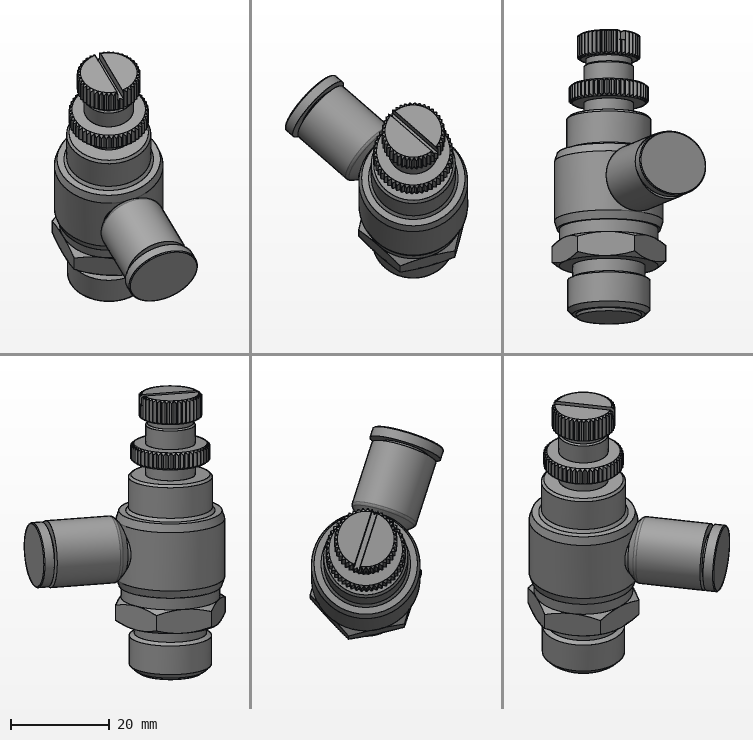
import cadquery as cq
import math


nose_tip_radius = 6.45
nose_radius = 6.65
nose_height = 0.6
thread_radius = 8.35
thread_lead_in = 1.0
thread_bottom = nose_height + thread_lead_in
thread_top = 7.6
relief_radius = 7.33
relief_bottom = 8.1

hex_across_flats = 20.0
hex_corner_radius = hex_across_flats / math.sqrt(3)
hex_bottom = 10.65
hex_height = 5.0
hex_top = hex_bottom + hex_height
hex_chamfer_angle = 30.0

body_radius = 11.01
body_end_radius = 10.45
body_neck_radius = 10.0
body_bottom = 18.2
body_top = 33.8
body_end_taper = 1.68

bonnet_radius = 8.52
bonnet_base_radius = 9.05
bonnet_base_height = 0.65
bonnet_top = 41.36
bonnet_chamfer = 0.5

stem_radius = 5.03
stem_neck_radius = 4.66
stem_top = 51.8
stem_neck_bottom = 52.1

lock_ring_radius = 8.05
lock_ring_root_radius = 7.5
lock_ring_bottom = 44.3
lock_ring_height = 3.6
lock_ring_chamfer = 0.5
lock_ring_teeth = 48

knurl_land = 0.15
knurl_chamfer_overlap = 0.07

total_height = 58.34
head_radius = 6.37
head_root_radius = 5.8
head_height = 5.0
head_bottom = total_height - head_height
head_chamfer = 0.4
head_teeth = 40
slot_width = 1.2
slot_depth = 2.0

port_height = 26.5
port_radius = 6.81
port_neck_radius = 5.15
port_neck_end = 10.37
port_cone_end = port_neck_end + port_radius - port_neck_radius
port_cone_fillet = 0.9
port_end = 25.7
collet_radius = 4.8
collar_start = 26.5
collar_end = 28.68
collar_width = 15.0
collar_height = 13.1
collar_chamfer = 0.2


def revolve_profile(points):
    """Solid of revolution about Z from (radius, height) points, closed along the axis."""
    axis_bottom = (0, points[0][1])
    axis_top = (0, points[-1][1])
    profile = cq.Workplane("XZ").polyline([axis_bottom] + points + [axis_top]).close()
    return profile.revolve(360, (0, 0, 0), (0, 1, 0))


def chamfered_cylinder(radius, bottom, top, radial, axial):
    """Cylinder on Z whose two rims are cut back by a cone."""
    return revolve_profile([
        (radius - radial, bottom),
        (radius, bottom + axial),
        (radius, top - axial),
        (radius - radial, top),
    ])


def make_core():
    """All plain turned steps, from the threaded nose to the screw neck."""
    return revolve_profile([
        (nose_tip_radius, 0),
        (nose_radius, nose_height),
        (thread_radius - thread_lead_in, nose_height),
        (thread_radius, thread_bottom),
        (thread_radius, thread_top),
        (relief_radius, relief_bottom),
        (relief_radius, hex_top),
        (body_neck_radius, hex_top),
        (body_neck_radius, body_bottom),
        (body_end_radius, body_bottom),
        (body_radius, body_bottom + body_end_taper),
        (body_radius, body_top - body_end_taper),
        (body_end_radius, body_top),
        (bonnet_base_radius, body_top),
        (bonnet_radius, body_top + bonnet_base_height),
        (bonnet_radius, bonnet_top - bonnet_chamfer),
        (bonnet_radius - bonnet_chamfer, bonnet_top),
        (stem_radius, bonnet_top),
        (stem_radius, stem_top),
        (stem_neck_radius, stem_neck_bottom),
        (stem_neck_radius, head_bottom),
    ])


def make_hexagon():
    """Hexagon with corners on the X axis and conically chamfered end faces."""
    prism = (
        cq.Workplane("XY", origin=(0, 0, hex_bottom))
        .polygon(6, 2 * hex_corner_radius)
        .extrude(hex_height)
    )
    radial = hex_corner_radius - hex_across_flats / 2
    axial = radial * math.tan(math.radians(hex_chamfer_angle))
    return prism.intersect(chamfered_cylinder(hex_corner_radius, hex_bottom, hex_top, radial, axial))


def polar_point(radius, angle):
    return (radius * math.cos(angle), radius * math.sin(angle))


def make_knurled_disc(tip_radius, root_radius, teeth, bottom, height, chamfer):
    """Disc with straight V-shaped knurling, a root on +X, and rims chamfered past the roots."""
    points = []
    pitch_angle = 2 * math.pi / teeth
    half_land_angle = knurl_land / tip_radius / 2
    for tooth in range(teeth):
        root_angle = tooth * pitch_angle
        tip_angle = root_angle + pitch_angle / 2
        points.append(polar_point(root_radius, root_angle))
        points.append(polar_point(tip_radius, tip_angle - half_land_angle))
        points.append(polar_point(tip_radius, tip_angle + half_land_angle))
    toothed = cq.Workplane("XY", origin=(0, 0, bottom)).polyline(points).close().extrude(height)
    radial = tip_radius - root_radius + knurl_chamfer_overlap
    return toothed.intersect(chamfered_cylinder(tip_radius, bottom, bottom + height, radial, chamfer))


def make_lock_ring():
    return make_knurled_disc(
        lock_ring_radius, lock_ring_root_radius, lock_ring_teeth,
        lock_ring_bottom, lock_ring_height, lock_ring_chamfer,
    )


def make_screw_head():
    """Knurled head with a screwdriver slot along X."""
    head = make_knurled_disc(
        head_radius, head_root_radius, head_teeth, head_bottom, head_height, head_chamfer
    )
    slot = (
        cq.Workplane("XY", origin=(0, 0, total_height - slot_depth))
        .rect(2 * head_radius, slot_width)
        .extrude(slot_depth)
    )
    return head.cut(slot)


def make_port():
    """Tube port along +X with an elliptical release collar."""
    barrel = revolve_profile([
        (port_neck_radius, 0),
        (port_neck_radius, port_neck_end),
        (port_radius, port_cone_end),
        (port_radius, port_end),
    ])
    cone_rim = cq.selectors.BoxSelector(
        (-port_radius, -port_radius, port_cone_end - port_cone_fillet),
        (port_radius, port_radius, port_cone_end + port_cone_fillet),
    )
    barrel = barrel.edges("%CIRCLE").edges(cone_rim).fillet(port_cone_fillet)
    barrel = barrel.rotate((0, 0, 0), (0, 1, 0), 90).translate((0, 0, port_height))

    collet = (
        cq.Workplane("YZ", origin=(port_end, 0, port_height))
        .circle(collet_radius)
        .extrude(collar_start - port_end)
    )
    collar = (
        cq.Workplane("YZ", origin=(collar_start, 0, port_height))
        .ellipse(collar_width / 2, collar_height / 2)
        .extrude(collar_end - collar_start)
        .faces(">X")
        .chamfer(collar_chamfer)
    )
    return barrel.union(collet).union(collar)


result = (
    make_core()
    .union(make_hexagon())
    .union(make_lock_ring())
    .union(make_screw_head())
    .union(make_port())
)